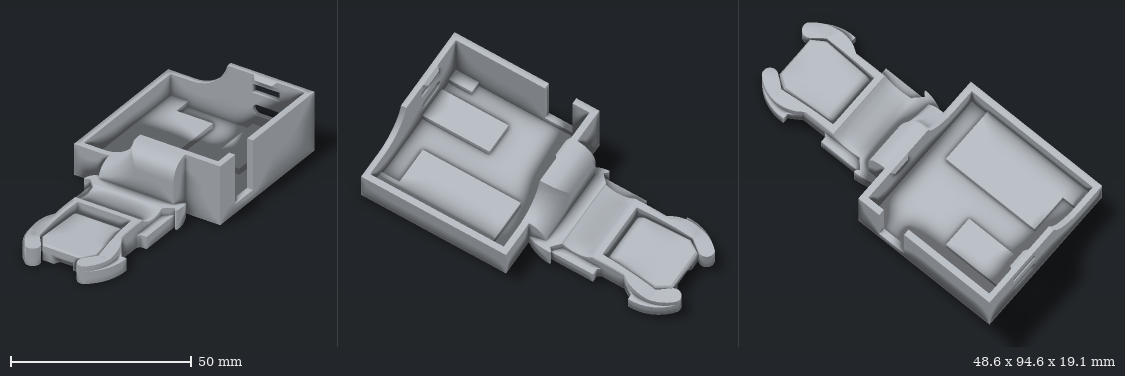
import cadquery as cq
import math

TRAY_X = 48.6
TRAY_Y = 47.5
TRAY_Z = 19.1
LOW_RIM_Z = 10.0
WALL = 2.0
BACK_WALL = 1.7
FLOOR_Z = 1.0
PAD_Z = 3.0

SWEEP_X = 9.1
SWEEP_R = 12.1

GAP_Y = 7.6
GAP_LENGTH = 9.0

STEP_PAD_END_X = 20.0
STEP_PAD_Y = 7.7
STEP_PAD_END_Y = 39.8
STEP_PAD_TAIL_X = 7.8
LONG_PAD_X = 29.2
LONG_PAD_WIDTH = 10.0
LONG_PAD_Y = 23.8
BACK_BLOCK_X = 42.9
BACK_BLOCK_Y = 38.2
FRONT_BLOCK_X = 44.0
FRONT_BLOCK_LENGTH = 1.2

HUMP_X = 11.9
HUMP_LENGTH = 25.2
HUMP_R = 6.0

RIDGE_X = 29.6
RIDGE_LENGTH = 7.7
RIDGE_DEPTH = 1.0
RIDGE_Z = 18.1
WINDOW_X = 29.0
WINDOW_LENGTH = 9.1
WINDOW_Z = 13.15
WINDOW_HEIGHT = 2.9
SLOT_LENGTH = 9.5
SLOT_D = 3.6
SLOT_Z = 7.85

CLIP_X = 24.6
CLIP_TIP_Y = TRAY_Y - 94.6
EDGE_BREAK = 0.3

COLLAR_HALF = 15.5
COLLAR_ROOT_HALF = 12.7
COLLAR_ROOT_Z = 3.4
COLLAR_MID = (14.8, -4.1)
COLLAR_CREST_Y = -6.7
COLLAR_CREST_Z = 6.1
COLLAR_ARC_MID = (-3.5, 5.1)
COLLAR_TOP_Z = 6.5
HOOK_HALF = 14.85
HOOK_Y = -8.7

TROUGH_Y = -9.9
TROUGH_LOW = (-14.6, 5.1)

NECK_HALF = 11.3
NECK_Z = 7.6
NECK_Y = -10.3
NECK_BACK_Y = -20.0
NECK_FRONT_Y = -30.4
WING_HALF = 14.0
WING_Z = 4.0
WING_START_Y = -7.7
WING_END_Y = -21.85
WING_BEVEL_HALF = 12.0
WING_BEVEL_Y = -22.9

ARM_Z = 5.7
ARM_SLOPE_MID = (-33.1, 7.0)
ARM_FLARE_Y = -32.3
ARM_FLAT_Y = -39.7
ARM_OUTER_MID = (13.7, -37.8)
ARM_ELBOW_HALF = 9.7
FLARE_SLOPE = 0.65
FOOT_Y = -34.2
FOOT_MID = (14.2, -41.3)
TIP_R = 4.6 / 2
TIP_X = 8.7
TIP_Y = CLIP_TIP_Y + TIP_R
TIP_OUTER_ANGLE = 296
TIP_INNER_ANGLE = 142
OPENING_HALF = 8.9
OPENING_Y = -21.8

TONGUE_Y = -22.3
TONGUE_FRONT_Y = -43.1
TONGUE_SHOULDER_Y = -39.3
TONGUE_BACK_HALF = 8.5
TONGUE_SHOULDER_HALF = 9.2
TONGUE_FRONT_HALF = 6.6
TONGUE_CHAMFER = 0.6
TONGUE_BACK_R = 3.1
NOTCH_MOUTH = 6.5
NOTCH_END = 4.4
NOTCH_DEPTH = 1.9
NOTCH_Z = 2.3
NOTCH_CHAMFER = 0.6
NOTCH_RISE = 0.85


def box(x0, x1, y0, y1, z0, z1):
    return cq.Workplane("XY").box(x1 - x0, y1 - y0, z1 - z0, centered=False).translate((x0, y0, z0))


def both_sides(half):
    """A half shape at +X together with its mirror image."""
    return half.union(half.mirror("YZ"))


def hump():
    block = box(HUMP_X, HUMP_X + HUMP_LENGTH, -HUMP_R, WALL, 0, TRAY_Z)
    return block.edges("|X and >Z and <Y").fillet(HUMP_R)


def sweep_cutter():
    """Round cutter along Y that flares over the hump, so the sweep's edge is rounded like the hump."""
    flare_mid = HUMP_R * math.sqrt(0.5)
    return (
        cq.Workplane("XY")
        .moveTo(0, -HUMP_R)
        .lineTo(SWEEP_R + HUMP_R, -HUMP_R)
        .threePointArc((SWEEP_R + HUMP_R - flare_mid, -flare_mid), (SWEEP_R, 0))
        .lineTo(SWEEP_R, TRAY_Y)
        .lineTo(0, TRAY_Y)
        .close()
        .revolve(360, (0, 0), (0, 1))
        .translate((SWEEP_X, 0, LOW_RIM_Z + SWEEP_R))
    )


def ridge():
    """Triangular snap ridge with bevelled ends, rooted on the plane y = 0 and pointing to +Y."""
    section = [(0, RIDGE_Z - RIDGE_DEPTH), (RIDGE_DEPTH, RIDGE_Z), (0, RIDGE_Z + RIDGE_DEPTH)]
    bar = cq.Workplane("YZ").polyline(section).close().extrude(RIDGE_LENGTH)
    plan = [(0, 0), (RIDGE_LENGTH, 0), (RIDGE_LENGTH - RIDGE_DEPTH, RIDGE_DEPTH), (RIDGE_DEPTH, RIDGE_DEPTH)]
    bevel = cq.Workplane("XY").polyline(plan).close().extrude(TRAY_Z + RIDGE_DEPTH)
    return bar.intersect(bevel).translate((RIDGE_X, 0, 0))


def floor_pads():
    inner_x = TRAY_X - WALL
    inner_y = TRAY_Y - BACK_WALL
    long_pad_end = LONG_PAD_X + LONG_PAD_WIDTH
    pads = box(WALL, STEP_PAD_END_X, STEP_PAD_Y, STEP_PAD_END_Y, 0, PAD_Z)
    pads = pads.union(box(WALL, STEP_PAD_TAIL_X, STEP_PAD_END_Y, inner_y, 0, PAD_Z))
    pads = pads.union(box(LONG_PAD_X, long_pad_end, LONG_PAD_Y, inner_y, 0, PAD_Z))
    pads = pads.union(box(BACK_BLOCK_X, inner_x, BACK_BLOCK_Y, inner_y, 0, PAD_Z))
    return pads.union(box(FRONT_BLOCK_X, inner_x, WALL, WALL + FRONT_BLOCK_LENGTH, 0, PAD_Z))


def tray():
    inner_x = TRAY_X - WALL
    inner_y = TRAY_Y - BACK_WALL
    body = box(0, TRAY_X, 0, TRAY_Y, 0, TRAY_Z)
    body = body.cut(box(WALL, inner_x, WALL, inner_y, FLOOR_Z, TRAY_Z))
    body = body.union(hump())
    body = body.cut(box(0, SWEEP_X, 0, TRAY_Y, LOW_RIM_Z, TRAY_Z))
    body = body.cut(sweep_cutter())
    body = body.cut(box(inner_x, TRAY_X, GAP_Y, GAP_Y + GAP_LENGTH, PAD_Z, TRAY_Z))

    window_end = WINDOW_X + WINDOW_LENGTH
    body = body.cut(box(WINDOW_X, window_end, inner_y, TRAY_Y, WINDOW_Z, WINDOW_Z + WINDOW_HEIGHT))
    slot = cq.Workplane("XZ").slot2D(SLOT_LENGTH, SLOT_D).extrude(-BACK_WALL)
    body = body.cut(slot.translate((WINDOW_X + SLOT_LENGTH / 2, inner_y, SLOT_Z)))

    body = body.union(floor_pads())
    body = body.union(ridge().translate((0, WALL, 0)))
    return body.union(ridge().mirror("XZ").translate((0, inner_y, 0)))


def clip_profile():
    """Side profile of the clip: collar, trough, flat neck and arms that slope down to their tips."""
    return (
        cq.Workplane("YZ")
        .moveTo(0, 0)
        .lineTo(0, COLLAR_ROOT_Z)
        .threePointArc(COLLAR_ARC_MID, (COLLAR_CREST_Y, COLLAR_CREST_Z))
        .lineTo(TROUGH_Y, COLLAR_TOP_Z)
        .lineTo(TROUGH_Y - EDGE_BREAK, COLLAR_TOP_Z - EDGE_BREAK)
        .threePointArc(TROUGH_LOW, (NECK_BACK_Y + EDGE_BREAK, NECK_Z - EDGE_BREAK))
        .lineTo(NECK_BACK_Y, NECK_Z)
        .threePointArc(ARM_SLOPE_MID, (ARM_FLAT_Y, ARM_Z))
        .lineTo(CLIP_TIP_Y, ARM_Z)
        .lineTo(CLIP_TIP_Y, 0)
        .close()
        .extrude(TRAY_X / 2)
    )


def tip_point(angle):
    """Point on the round tip of the arm, at an angle in degrees from +X."""
    turn = math.radians(angle)
    return (TIP_X + TIP_R * math.cos(turn), TIP_Y + TIP_R * math.sin(turn))


def flare_half(y):
    """Half width of the straight flare that leads from the neck to the arms."""
    return NECK_HALF + FLARE_SLOPE * (NECK_FRONT_Y - y)


def clip_plan():
    """Outline of half the clip from the collar to the arm's tip."""
    return (
        cq.Workplane("XY")
        .moveTo(0, 0)
        .lineTo(COLLAR_ROOT_HALF, 0)
        .threePointArc(COLLAR_MID, (COLLAR_HALF, HOOK_Y))
        .lineTo(HOOK_HALF, HOOK_Y)
        .lineTo(WING_HALF, WING_START_Y)
        .lineTo(NECK_HALF, NECK_Y)
        .lineTo(NECK_HALF, NECK_FRONT_Y)
        .lineTo(flare_half(ARM_FLARE_Y), ARM_FLARE_Y)
        .threePointArc(ARM_OUTER_MID, tip_point(TIP_OUTER_ANGLE))
        .threePointArc(tip_point((TIP_OUTER_ANGLE + TIP_INNER_ANGLE) / 2), tip_point(TIP_INNER_ANGLE))
        .lineTo(ARM_ELBOW_HALF, ARM_FLAT_Y)
        .lineTo(OPENING_HALF, OPENING_Y)
        .lineTo(0, OPENING_Y)
        .close()
        .extrude(TRAY_Z)
    )


def clip_wing():
    plan = [
        (0, WING_START_Y),
        (WING_HALF, WING_START_Y),
        (WING_HALF, WING_END_Y),
        (WING_BEVEL_HALF, WING_END_Y),
        (NECK_HALF, WING_BEVEL_Y),
        (OPENING_HALF, WING_BEVEL_Y),
        (OPENING_HALF, OPENING_Y),
        (0, OPENING_Y),
    ]
    return cq.Workplane("XY").polyline(plan).close().extrude(WING_Z)


def arm_foot():
    """Low curved foot that runs around the outside of an arm."""
    return (
        cq.Workplane("XY")
        .moveTo(NECK_HALF, NECK_FRONT_Y)
        .lineTo(flare_half(FOOT_Y), FOOT_Y)
        .lineTo(COLLAR_HALF, FOOT_Y)
        .threePointArc(FOOT_MID, tip_point(TIP_OUTER_ANGLE))
        .lineTo(ARM_ELBOW_HALF, ARM_FLAT_Y)
        .close()
        .extrude(WING_Z)
    )


def clip():
    half = clip_profile().intersect(clip_plan())
    near_corner = (OPENING_HALF, NECK_FRONT_Y, WING_Z)
    far_corner = (WING_HALF, NECK_BACK_Y, TRAY_Z)
    neck_edge = half.edges(cq.selectors.BoxSelector(near_corner, far_corner)).edges("not |Z")
    half = neck_edge.chamfer(EDGE_BREAK)
    half = half.union(clip_wing()).union(arm_foot())
    return both_sides(half).translate((CLIP_X, 0, 0))


def tongue_notch():
    """Recess in the front edge that narrows inwards, with a chamfered mouth."""
    mouth = NOTCH_MOUTH / 2
    mouth_y = TONGUE_FRONT_Y + NOTCH_CHAMFER
    plan = [
        (-mouth, TONGUE_FRONT_Y),
        (mouth, TONGUE_FRONT_Y),
        (mouth, mouth_y),
        (NOTCH_END / 2, mouth_y + NOTCH_DEPTH),
        (-NOTCH_END / 2, mouth_y + NOTCH_DEPTH),
        (-mouth, mouth_y),
    ]
    recess = cq.Workplane("XY").polyline(plan).close().extrude(NOTCH_Z)
    outer_z = NOTCH_Z + NOTCH_RISE
    flare = (
        cq.Workplane("XZ", origin=(0, TONGUE_FRONT_Y, 0))
        .rect(NOTCH_MOUTH + 2 * NOTCH_CHAMFER, 2 * outer_z)
        .workplane(offset=-NOTCH_CHAMFER)
        .rect(NOTCH_MOUTH, 2 * NOTCH_Z)
        .loft(ruled=True)
    )
    return recess.union(flare)


def tongue():
    right = [
        (TONGUE_BACK_HALF, TONGUE_Y),
        (TONGUE_SHOULDER_HALF, TONGUE_SHOULDER_Y),
        (TONGUE_FRONT_HALF, TONGUE_FRONT_Y),
    ]
    left = [(-x, y) for x, y in reversed(right)]
    plate = cq.Workplane("XY").polyline(right + left).close().extrude(ARM_Z)
    plate = plate.edges(">Y and >Z").fillet(TONGUE_BACK_R)
    plate = plate.faces(">Z").edges("not >Y").chamfer(TONGUE_CHAMFER)
    plate = plate.faces("<Y").edges("<Z").chamfer(TONGUE_CHAMFER)
    return plate.cut(tongue_notch()).translate((CLIP_X, 0, 0))


holder = tray().union(clip())
slider = tongue()
result = cq.Compound.makeCompound([holder.solids().val(), slider.solids().val()])